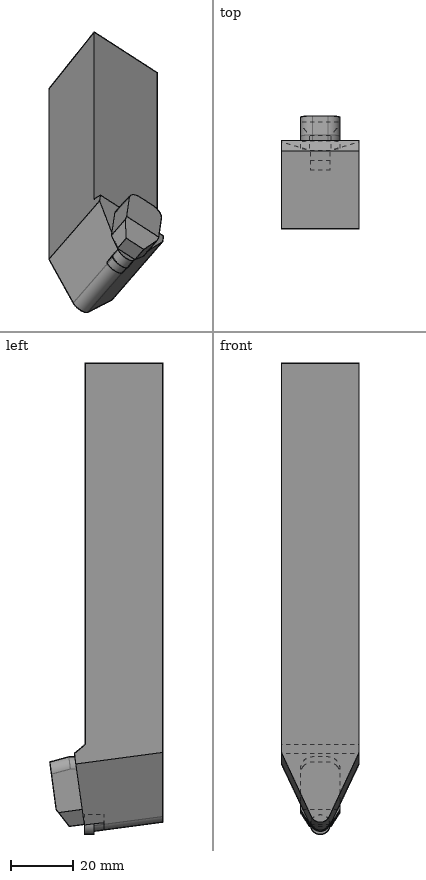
import cadquery as cq
import math

shank_width = 24.9
half_shank = shank_width / 2
total_length = 151.0

clearance_slope = math.tan(math.radians(7.6))
flank_angle = math.radians(25.0)
nose_radius = 3.2
nose_bottom_front = 4.0

rake_slope = math.tan(math.radians(8.0))
rake_bottom_y = 12.7
rake_bottom_z = 3.2
rake_top_z = 26.0
rake_top_y = rake_bottom_y + (rake_top_z - rake_bottom_z) * rake_slope
shank_back_end_z = 28.8

clamp_width = 12.7
half_clamp = clamp_width / 2
clamp_round = 4.0
clamp_back_y = 36.2 - half_shank
clamp_back_top_z = 23.3
clamp_bend_y = 17.7
clamp_top_z = 24.9
clamp_heel_y = 21.7
clamp_heel_z = 8.0
clamp_toe_y = 17.5
clamp_toe_z = 2.5
taper_top_z = 9.8
taper_bottom_z = 4.7
taper_half_width = 3.3

insert_diameter = 6.3
insert_radius = insert_diameter / 2
insert_back_y = rake_bottom_y
land_thickness = 3.2
insert_front_y = 6.3
land_front_y = insert_back_y - land_thickness

reach = 60.4


def side_profile(points, width):
    """Extrude a (y, z) polygon symmetrically about the middle plane."""
    return cq.Workplane("YZ").polyline(points).close().extrude(width / 2, both=True)


def leaning_prism(sketch, start_y):
    """Sweep a closed wire toward +Y while it drops at the clearance slope."""
    wire = sketch.val().translate(cq.Vector(0, start_y, 0))
    direction = cq.Vector(0, reach, -reach * clearance_slope)
    return cq.Workplane(cq.Solid.extrudeLinear(wire, [], direction))


def y_cylinder(radius, front_y, back_y):
    """Cylinder along Y on the axis of the round insert."""
    plane = cq.Plane((0, front_y, insert_radius), xDir=(1, 0, 0), normal=(0, 1, 0))
    return cq.Workplane(plane).circle(radius).extrude(back_y - front_y)


def make_head_outline():
    """Shank sides running into two flanks joined by the round nose."""
    center_z = nose_bottom_front + nose_radius
    tangent_x = nose_radius * math.cos(flank_angle)
    tangent_z = center_z - nose_radius * math.sin(flank_angle)
    shoulder_z = tangent_z + (half_shank - tangent_x) / math.tan(flank_angle)
    above_shank = 2 * total_length
    outline = (
        cq.Workplane("XZ")
        .moveTo(-half_shank, above_shank)
        .lineTo(-half_shank, shoulder_z)
        .lineTo(-tangent_x, tangent_z)
        .threePointArc((0, nose_bottom_front), (tangent_x, tangent_z))
        .lineTo(half_shank, shoulder_z)
        .lineTo(half_shank, above_shank)
        .close()
    )
    return leaning_prism(outline, -half_shank)


def make_shank_and_head():
    foot_y = rake_bottom_y - rake_bottom_z * rake_slope
    profile = side_profile(
        [
            (-half_shank, 0),
            (foot_y, 0),
            (rake_top_y, rake_top_z),
            (half_shank, shank_back_end_z),
            (half_shank, total_length),
            (-half_shank, total_length),
        ],
        shank_width,
    )
    return profile.intersect(make_head_outline())


def make_clamp():
    clamp_top_y = rake_bottom_y + (clamp_top_z - rake_bottom_z) * rake_slope
    block = side_profile(
        [
            (rake_bottom_y, rake_bottom_z),
            (clamp_toe_y, clamp_toe_z),
            (clamp_heel_y, clamp_heel_z),
            (clamp_back_y, clamp_back_top_z),
            (clamp_bend_y, clamp_top_z),
            (clamp_top_y, clamp_top_z),
        ],
        clamp_width,
    )
    slope_middle = (0, (clamp_bend_y + clamp_back_y) / 2, (clamp_top_z + clamp_back_top_z) / 2)
    sloping_top = block.faces(cq.selectors.NearestToPointSelector(slope_middle))
    top_faces = block.faces(">Z").add(sloping_top)
    side_edges = top_faces.edges("not(|X)").vals()
    block = block.newObject(side_edges).fillet(clamp_round)
    outline = (
        cq.Workplane("XZ")
        .polyline(
            [
                (-half_clamp, total_length),
                (-half_clamp, taper_top_z),
                (-taper_half_width, taper_bottom_z),
                (-taper_half_width, -total_length),
                (taper_half_width, -total_length),
                (taper_half_width, taper_bottom_z),
                (half_clamp, taper_top_z),
                (half_clamp, total_length),
            ]
        )
        .close()
    )
    return block.intersect(leaning_prism(outline, 0))


def make_insert(blank):
    """Cylindrical land with a relieved base that is flush with the head."""
    land = y_cylinder(insert_radius, land_front_y, insert_back_y)
    base = y_cylinder(insert_radius, insert_front_y, land_front_y).intersect(blank)
    return land.union(base)


holder_blank = make_shank_and_head().union(make_clamp())
insert = make_insert(holder_blank)
holder = holder_blank.cut(insert)

result = cq.Compound.makeCompound([holder.solids().val(), insert.solids().val()])